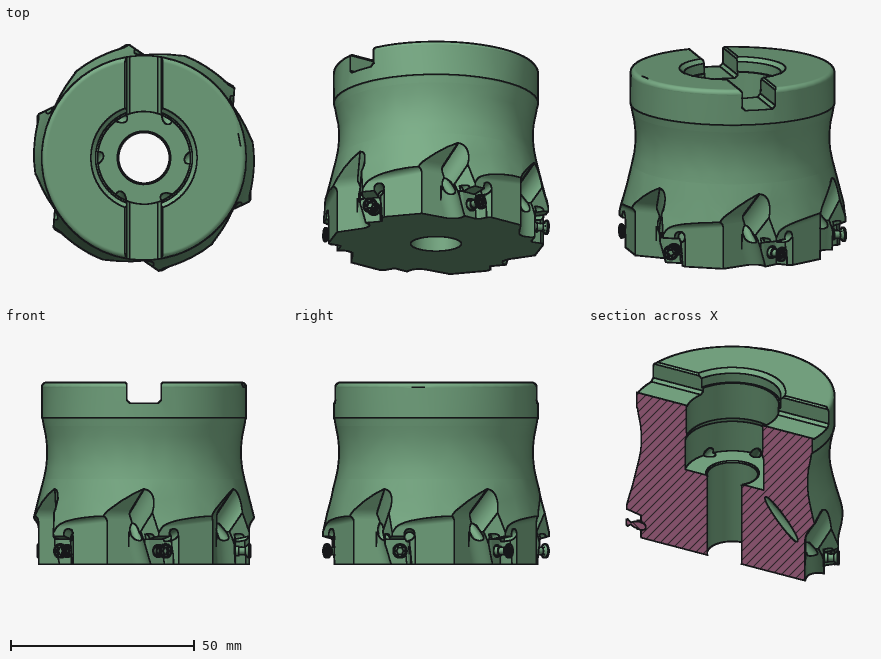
import cadquery as cq
import math

TOOTH_COUNT = 6
TOOTH_PITCH = 360 / TOOTH_COUNT
HEIGHT = 49.6
CLEAR = 1.25
REACH = 24.65

COLLAR_R = 27.9
COLLAR_EDGE_R = 1.35
COLLAR_BOTTOM_Z = 39.9
COLLAR_BREAK_R = 27.7
COLLAR_BREAK_Z = 39.5
NECK_TOP_R = 27.4
NECK_TOP_Z = 37.75
NECK_WAIST_R = 26.45
NECK_WAIST_Z = 30.5
NECK_BOTTOM_R = 27.4
NECK_BOTTOM_Z = 23.25
SKIRT_ANGLE = 14.3

BORE_R = 12.65
BORE_FLOOR_Z = 24.65
BORE_MOUTH_R = 13.2
BORE_MOUTH_DEPTH = 3.9
BORE_CHAMFER = 1.3
BORE_CHAMFER_DEPTH = 1.1
RELIEF_R = 13.1
RELIEF_TOP_Z = 34.9
RELIEF_TAPER = 1.2
THROUGH_R = 6.9
THROUGH_CHAMFER = 0.4

SLOT_WIDTH = 9.4
SLOT_DEPTH = 5.7
SLOT_ROOT_CHAMFER = 0.85
SLOT_MOUTH_CHAMFER = 0.5

FLANK_X = 28.75
FLANK_TILT = 6.0
FLANK_TOP_Z = 11.05
FLANK_FILLET_R = 2.0

FLOOR_ANGLE = -9.3
FLOOR_END = (19.8, -15.65)
FLOOR_TOP_Z = 12.35
FLOOR_LENGTH = 18.5
RAMP_ANGLE = 31.3
RAMP_FILLET_R = 4.95
FACE_POINT = (26.8, -12.8)
FACE_ANGLE = 25.5
RUNOUT_R = 4.95
RUNOUT_CENTRE = (24.5, -18.3, 13.1)
RUNOUT_LEAN = 0.43
RUNOUT_DROP = 5.55
CHIP_GROOVE_R = 3.3
CHIP_GROOVE_TILT = 17.0
CHIP_GROOVE_SHIFT = 0.9
CHIP_GROOVE_LENGTH = 10.5
CHIP_GROOVE_OPENING = 3.7

SEAT_X = 24.85
SEAT_TOP_Z = 6.85
LEDGE_TILT = 12.0
SEAT_TILT = 5.0
SEAT_LAND_DROP = 0.25
SEAT_LAND_FRONT_Y = -13.3
SEAT_LAND_BACK_Y = -12.45
SEAT_CORNER_START_Y = -8.25
SEAT_CORNER_MID = (25.15, -7.75)
SEAT_WALL_START = (25.8, -7.5)
SEAT_WALL_END = (27.75, -6.9)
SEAT_LIP_START = (27.5, -7.15)
SEAT_LIP_Y = -5.7
SEAT_FRONT_Y = -18.5
REAR_RELIEF_R = 1.4
REAR_RELIEF_YZ = (-7.2, 7.4)
FRONT_RELIEF_R = 1.2
FRONT_RELIEF_YZ = (-13.8, 7.0)

COOLANT_R = 1.35
COOLANT_EXIT = (22.1, -15.05, 7.3)

SCREW_Y = -9.8
SCREW_Z = 3.65
SCREW_DEPTH = 4.3
SCREW_THREAD_R = 1.3
SCREW_THREAD_TOP = 1.0
SCREW_NECK_R = 1.05
SCREW_HEAD_START = 2.7
SCREW_HEAD_EDGE = 3.65
SCREW_HEAD_RIM = 3.95
SCREW_LENGTH = 4.2
SCREW_HEAD_R = 1.9
SCREW_CROWN_R = 1.55
SOCKET_R = 0.85
SOCKET_LOBE_R = 0.25
SOCKET_DEPTH = 0.9
SOCKET_LOBES = 6
SCREW_SINK_R = 1.7
SCREW_SINK_DEPTH = 0.45
HEAD_CLEARANCE_R = 2.65
HEAD_CLEARANCE_X = 26.5


def ray(angle):
    """Horizontal unit vector at an angle from +X."""
    return cq.Vector(math.cos(math.radians(angle)), math.sin(math.radians(angle)), 0)


def rod(start, direction, length, radius):
    return cq.Workplane(cq.Solid.makeCylinder(radius, length, start, direction))


def turned_blank():
    rim_mid = COLLAR_EDGE_R * (1 - math.sqrt(0.5))
    skirt_bottom_r = NECK_BOTTOM_R + NECK_BOTTOM_Z * math.tan(math.radians(SKIRT_ANGLE))
    profile = (
        cq.Workplane("XZ")
        .lineTo(skirt_bottom_r, 0)
        .lineTo(NECK_BOTTOM_R, NECK_BOTTOM_Z)
        .threePointArc((NECK_WAIST_R, NECK_WAIST_Z), (NECK_TOP_R, NECK_TOP_Z))
        .lineTo(COLLAR_BREAK_R, COLLAR_BREAK_Z)
        .lineTo(COLLAR_R, COLLAR_BOTTOM_Z)
        .lineTo(COLLAR_R, HEIGHT - COLLAR_EDGE_R)
        .threePointArc((COLLAR_R - rim_mid, HEIGHT - rim_mid), (COLLAR_R - COLLAR_EDGE_R, HEIGHT))
        .lineTo(0, HEIGHT)
        .close()
    )
    return profile.revolve(360, (0, 0, 0), (0, 1, 0))


def bore_cutter():
    profile = (
        cq.Workplane("XZ")
        .moveTo(0, -CLEAR)
        .lineTo(THROUGH_R, -CLEAR)
        .lineTo(THROUGH_R, BORE_FLOOR_Z - THROUGH_CHAMFER)
        .lineTo(THROUGH_R + THROUGH_CHAMFER, BORE_FLOOR_Z)
        .lineTo(RELIEF_R, BORE_FLOOR_Z)
        .lineTo(RELIEF_R, RELIEF_TOP_Z - RELIEF_TAPER)
        .lineTo(BORE_R, RELIEF_TOP_Z)
        .lineTo(BORE_R, HEIGHT - BORE_MOUTH_DEPTH)
        .lineTo(BORE_MOUTH_R, HEIGHT - BORE_MOUTH_DEPTH)
        .lineTo(BORE_MOUTH_R, HEIGHT - BORE_CHAMFER_DEPTH)
        .lineTo(BORE_MOUTH_R + BORE_CHAMFER, HEIGHT)
        .lineTo(BORE_MOUTH_R + BORE_CHAMFER, HEIGHT + CLEAR)
        .lineTo(0, HEIGHT + CLEAR)
        .close()
    )
    return profile.revolve(360, (0, 0, 0), (0, 1, 0))


def slot_cutter():
    half = SLOT_WIDTH / 2
    floor_z = HEIGHT - SLOT_DEPTH
    right_side = [
        (half - SLOT_ROOT_CHAMFER, floor_z),
        (half, floor_z + SLOT_ROOT_CHAMFER),
        (half, HEIGHT - SLOT_MOUTH_CHAMFER),
        (half + SLOT_MOUTH_CHAMFER, HEIGHT),
        (half + SLOT_MOUTH_CHAMFER, HEIGHT + CLEAR),
    ]
    left_side = [(-x, z) for x, z in reversed(right_side)]
    outline = cq.Workplane("XZ").polyline(right_side + left_side).close()
    return outline.extrude(COLLAR_R + CLEAR, both=True)


def flank_cutter():
    """Flat outer flank ending upward in a rounded, slightly climbing shoulder."""
    mid = FLANK_FILLET_R * (1 - math.sqrt(0.5))
    top = FLANK_FILLET_R
    outline = (
        cq.Workplane("XZ", origin=(FLANK_X, 0, FLANK_TOP_Z))
        .moveTo(0, -REACH)
        .lineTo(0, 0)
        .threePointArc((mid, top - mid), (FLANK_FILLET_R, top))
        .lineTo(REACH, top)
        .lineTo(REACH, -REACH)
        .close()
    )
    pivot = cq.Vector(FLANK_X, 0, FLANK_TOP_Z)
    return outline.extrude(REACH, both=True).rotate(pivot, pivot + cq.Vector(0.6, 0, 0), FLANK_TILT)


def gullet_slab():
    """Open space in front of the flat gullet floor and its run-out ramp."""
    ramp = math.radians(RAMP_ANGLE)

    def on_fillet(angle):
        return (RAMP_FILLET_R * (1 - math.cos(angle)), FLOOR_TOP_Z + RAMP_FILLET_R * math.sin(angle))

    ramp_start = on_fillet(ramp)
    ramp_end = (ramp_start[0] + REACH * math.sin(ramp), ramp_start[1] + REACH * math.cos(ramp))
    floor_plane = cq.Plane(
        origin=(*FLOOR_END, 0), xDir=ray(FLOOR_ANGLE), normal=ray(FLOOR_ANGLE - 90)
    )
    outline = (
        cq.Workplane(floor_plane)
        .moveTo(0, -CLEAR)
        .lineTo(0, FLOOR_TOP_Z)
        .threePointArc(on_fillet(ramp / 2), ramp_start)
        .lineTo(*ramp_end)
        .lineTo(ramp_end[0], -CLEAR)
        .close()
    )
    return outline.extrude(FLOOR_LENGTH, both=True)


def gullet_cutter():
    """Gullet floor stopped by the upright tooth face, with a slanted round run-out."""
    face_plane = cq.Plane(origin=(*FACE_POINT, 0), xDir=ray(FACE_ANGLE), normal=(0, 0, 1))
    ahead_of_face = (
        cq.Workplane(face_plane)
        .center(0, -REACH)
        .rect(4 * REACH, 2 * REACH)
        .extrude(2 * REACH, both=True)
    )
    upward = (
        ray(FLOOR_ANGLE) * math.tan(math.radians(RAMP_ANGLE))
        + ray(FLOOR_ANGLE + 90) * RUNOUT_LEAN
        + cq.Vector(0, 0, 1)
    )
    start = cq.Vector(*RUNOUT_CENTRE) - upward.normalized() * RUNOUT_DROP
    runout = rod(start, upward, REACH, RUNOUT_R)
    return gullet_slab().intersect(ahead_of_face.union(runout))


def chip_groove_cutter():
    """Slanted round groove, tangent to the gullet floor, ahead of the insert seat."""
    tilt = math.radians(CHIP_GROOVE_TILT)
    axis = ray(FLOOR_ANGLE - 90) * math.sin(tilt) + cq.Vector(0, 0, math.cos(tilt))
    base = cq.Vector(*FLOOR_END, 0) + ray(FLOOR_ANGLE + 90) * CHIP_GROOVE_SHIFT
    section = cq.Plane(origin=base - axis * CHIP_GROOVE_R, xDir=ray(FLOOR_ANGLE), normal=axis)
    outline = (
        cq.Workplane(section)
        .moveTo(0, -CHIP_GROOVE_OPENING)
        .lineTo(0, 0)
        .threePointArc((CHIP_GROOVE_R, CHIP_GROOVE_R), (2 * CHIP_GROOVE_R, 0))
        .lineTo(2 * CHIP_GROOVE_R, -CHIP_GROOVE_OPENING)
        .close()
    )
    return outline.extrude(CHIP_GROOVE_LENGTH + CHIP_GROOVE_R)


def seat_cutter():
    """Insert seat with its back wall, lip and the two corner reliefs."""
    lean = cq.Vector(SEAT_X, 0, SCREW_Z)
    pocket = (
        cq.Workplane("XY", origin=(0, 0, -REACH))
        .moveTo(SEAT_X - SEAT_LAND_DROP, SEAT_FRONT_Y)
        .lineTo(SEAT_X - SEAT_LAND_DROP, SEAT_LAND_FRONT_Y)
        .lineTo(SEAT_X, SEAT_LAND_BACK_Y)
        .lineTo(SEAT_X, SEAT_CORNER_START_Y)
        .threePointArc(SEAT_CORNER_MID, SEAT_WALL_START)
        .lineTo(*SEAT_WALL_END)
        .lineTo(SEAT_WALL_END[0], SEAT_FRONT_Y)
        .close()
        .extrude(REACH * 2)
        .rotate(lean, lean + cq.Vector(0.6, 0, 0), SEAT_TILT)
    )
    tilt = math.radians(LEDGE_TILT)
    outward = cq.Vector(math.cos(tilt), 0, math.sin(tilt))
    ledge = cq.Plane(
        origin=(SEAT_X, 0, SEAT_TOP_Z), xDir=outward, normal=(-math.sin(tilt), 0, math.cos(tilt))
    )
    below_ledge = cq.Workplane(ledge).rect(4 * REACH, 4 * REACH).extrude(-REACH)
    lip = (
        cq.Workplane("XY", origin=(0, 0, -CLEAR))
        .moveTo(SEAT_LIP_START[0], SEAT_FRONT_Y)
        .lineTo(*SEAT_LIP_START)
        .lineTo(FLANK_X, SEAT_LIP_Y)
        .lineTo(FLANK_X + REACH, SEAT_LIP_Y)
        .lineTo(FLANK_X + REACH, SEAT_FRONT_Y)
        .close()
        .extrude(REACH)
    )
    pocket = pocket.union(lip).intersect(below_ledge)
    rear_relief = rod(cq.Vector(SEAT_X, *REAR_RELIEF_YZ), outward, REACH, REAR_RELIEF_R)
    front_relief = rod(cq.Vector(SEAT_X, *FRONT_RELIEF_YZ), outward, REACH, FRONT_RELIEF_R)
    return pocket.union(rear_relief).union(front_relief)


def coolant_cutter():
    inner = ray(-TOOTH_PITCH) * BORE_R + cq.Vector(0, 0, BORE_FLOOR_Z)
    path = cq.Vector(*COOLANT_EXIT) - inner
    overrun = path.normalized() * COOLANT_R
    return rod(inner - overrun, path, path.Length + 2 * COOLANT_R, COOLANT_R)


def screw_hole_cutter():
    """Screw hole with a countersunk mouth and room for the head beside it."""
    outward = cq.Vector(1, 0, 0)
    seat = cq.Vector(SEAT_X, SCREW_Y, SCREW_Z)
    hole = rod(seat - outward * SCREW_DEPTH, outward, SCREW_DEPTH, SCREW_THREAD_R)
    sink = cq.Workplane(
        cq.Solid.makeCone(
            SCREW_THREAD_R, SCREW_SINK_R, SCREW_SINK_DEPTH, seat - outward * SCREW_SINK_DEPTH, outward
        )
    )
    head_room = rod(cq.Vector(HEAD_CLEARANCE_X, SCREW_Y, SCREW_Z), outward, REACH, HEAD_CLEARANCE_R)
    return hole.union(sink).union(head_room)


def make_cutter_body():
    body = turned_blank().cut(bore_cutter()).cut(slot_cutter())
    tooth_cutters = [
        flank_cutter(),
        gullet_cutter(),
        chip_groove_cutter(),
        seat_cutter(),
        coolant_cutter(),
        screw_hole_cutter(),
    ]
    for index in range(TOOTH_COUNT):
        for cutter in tooth_cutters:
            body = body.cut(cutter.rotate((0, 0, 0), (0, 0, 1), index * TOOTH_PITCH))
    return body


def make_screw():
    """Countersunk screw with a six-lobed socket, standing in its seat."""
    shank = (
        cq.Workplane("XY")
        .moveTo(-SCREW_DEPTH, 0)
        .lineTo(-SCREW_DEPTH, SCREW_THREAD_R)
        .lineTo(SCREW_THREAD_TOP, SCREW_THREAD_R)
        .lineTo(SCREW_THREAD_TOP, SCREW_NECK_R)
        .lineTo(SCREW_HEAD_START, SCREW_NECK_R)
        .lineTo(SCREW_HEAD_EDGE, SCREW_HEAD_R)
        .lineTo(SCREW_HEAD_RIM, SCREW_HEAD_R)
        .lineTo(SCREW_LENGTH, SCREW_CROWN_R)
        .lineTo(SCREW_LENGTH, 0)
        .close()
        .revolve(360, (0, 0, 0), (1, 0, 0))
    )
    mouth = cq.Workplane("YZ", origin=(SCREW_LENGTH, 0, 0))
    core = mouth.circle(SOCKET_R).extrude(-SOCKET_DEPTH)
    lobes = mouth.polarArray(SOCKET_R, 0, 360, SOCKET_LOBES).circle(SOCKET_LOBE_R).extrude(-SOCKET_DEPTH)
    screw = shank.cut(core).cut(lobes)
    return screw.translate((SEAT_X, SCREW_Y, SCREW_Z))


cutter_body = make_cutter_body()
seat_screw = make_screw()
screws = [
    seat_screw.rotate((0, 0, 0), (0, 0, 1), index * TOOTH_PITCH).val() for index in range(TOOTH_COUNT)
]

result = cq.Compound.makeCompound([cutter_body.solids().val(), *screws])